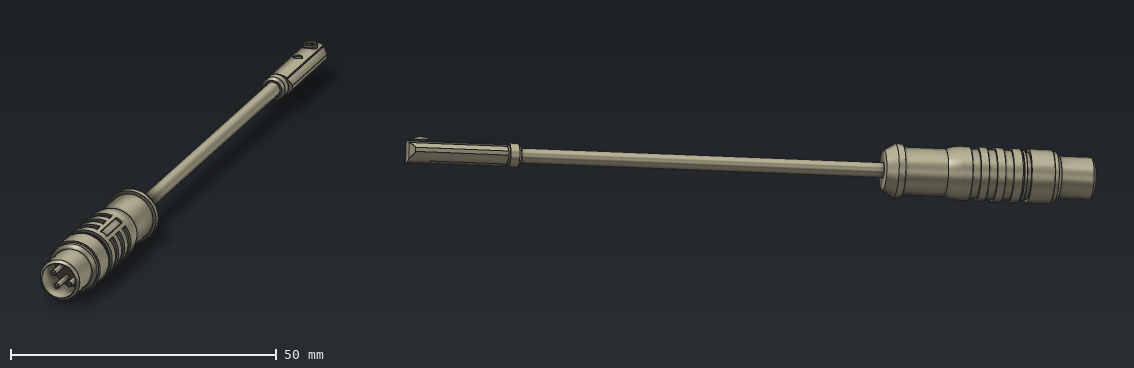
import cadquery as cq
import math

LENGTH = 131.6
CLEARANCE = 1.3

GRIP_RADIUS = 10.3 / 2
NECK_RADIUS = 9.6 / 2
WAIST_RADIUS = 9.1 / 2
GROOVE_FLOOR_RADIUS = 9.0 / 2
TIP_RADIUS = 8.0 / 2
REAR_END_RADIUS = 7.6 / 2
BORE_DIAMETER = 6.8

PLUG_LENGTH = 40.3
TIP_CHAMFER = 0.5
TIP_LENGTH = 6.7
NUT_LIP_START = 7.4
NUT_START = 8.2
NUT_END = 12.6
SEAL_START = 13.4
SEAL_END = 14.0
GRIP_START = 14.3
GRIP_END = 25.9
WAIST_START = 28.5
FLANGE_START = 36.8
FLANGE_END = 38.2
BORE_DEPTH = 6.6

PIN_DIAMETER = 1.0
PIN_CHAMFER = 0.2
PIN_RECESS = 1.0
PIN_ROOT = 0.7
PIN_CIRCLE_RADIUS = 1.8
PIN_ANGLES = [150, 240, 330]

GROOVE_WIDTH = 1.6
GROOVE_PITCH = 3.2
GROOVE_COUNT = 3
FIRST_GROOVE_START = 16.0
GROOVE_DEPTH = 0.4
MARKER_ANGLE = 57.0
MARKER_WIDTH = 1.5
MARKER_LAND_WIDTH = 3.2

CABLE_DIAMETER = 2.9
CABLE_INSERTION = 2.6

BODY_WIDTH = 5.8
BODY_START = 112.6
SIDE_TOP_Z = 0.2
SIDE_BOTTOM_Z = -0.59
LENS_RADIUS = 6.8 / 2
CROWN_WIDTH = 3.5
CROWN_HEIGHT = 0.3
UNDERSIDE_Z = -2.0
FOOT_LENGTH = 4.2
NOSE_LENGTH = 1.0

COLLAR_START = 109.9
COLLAR_END = 112.1
COLLAR_DIAMETER = 4.6
COLLAR_CHAMFER = 0.5
COLLAR_NECK_DIAMETER = 4.0

SCREW_Y = 129.0
SCREW_RIM_DIAMETER = 2.8
SCREW_DIAMETER = 2.5
SCREW_TOP_Z = 2.6
SCREW_RECESS = 0.5
SLOT_WIDTH = 0.5
SLOT_DEPTH = 0.4
SLOT_ANGLE = -30
LAMP_DIAMETER = 1.8
LAMP_Y = 122.7

LENS_RISE = LENS_RADIUS - math.sqrt(LENS_RADIUS**2 - (BODY_WIDTH / 2) ** 2)
LENS_TOP_Z = SIDE_TOP_Z + LENS_RISE
LENS_BOTTOM_Z = SIDE_BOTTOM_Z - LENS_RISE


def rod(diameter, start, end):
    """Round rod along Y, centred on the cable axis."""
    return cq.Workplane("XZ", origin=(0, start, 0)).circle(diameter / 2).extrude(start - end)


def block(width, start, end, bottom, top):
    """Block centred on X = 0, between two Y places and two heights."""
    base = cq.Workplane("XY", origin=(0, (start + end) / 2, bottom))
    return base.rect(width, end - start).extrude(top - bottom)


def make_plug_shell():
    """Turned outline of the tip, nut, seal disc, grip, waist and rear flange."""
    drop = GRIP_RADIUS - WAIST_RADIUS
    blend_length = WAIST_START - GRIP_END
    blend_radius = (blend_length**2 + drop**2) / (2 * drop)
    half_blend = blend_length / 2
    blend_middle = GRIP_RADIUS - blend_radius + math.sqrt(blend_radius**2 - half_blend**2)
    return (
        cq.Workplane("XY")
        .lineTo(TIP_RADIUS - TIP_CHAMFER, 0)
        .lineTo(TIP_RADIUS, TIP_CHAMFER)
        .lineTo(TIP_RADIUS, TIP_LENGTH)
        .lineTo(NECK_RADIUS, NUT_LIP_START)
        .lineTo(NECK_RADIUS, NUT_START)
        .lineTo(GRIP_RADIUS, NUT_START)
        .lineTo(GRIP_RADIUS, NUT_END)
        .lineTo(GROOVE_FLOOR_RADIUS, NUT_END)
        .lineTo(GROOVE_FLOOR_RADIUS, SEAL_START)
        .lineTo(NECK_RADIUS, SEAL_START)
        .lineTo(NECK_RADIUS, SEAL_END)
        .lineTo(GROOVE_FLOOR_RADIUS, SEAL_END)
        .lineTo(GROOVE_FLOOR_RADIUS, GRIP_START)
        .lineTo(GRIP_RADIUS, GRIP_START)
        .lineTo(GRIP_RADIUS, GRIP_END)
        .threePointArc((blend_middle, GRIP_END + half_blend), (WAIST_RADIUS, WAIST_START))
        .lineTo(WAIST_RADIUS, FLANGE_START)
        .lineTo(GRIP_RADIUS, FLANGE_START)
        .lineTo(GRIP_RADIUS, FLANGE_END)
        .lineTo(REAR_END_RADIUS, PLUG_LENGTH)
        .lineTo(0, PLUG_LENGTH)
        .close()
        .revolve(360, (0, 0, 0), (0, 1, 0))
    )


def make_marker_strip(width, start, end, depth):
    """Axial strip at the marker angle, from `depth` below the grip surface outward."""
    strip = block(width, start, end, GRIP_RADIUS - depth, GRIP_RADIUS + CLEARANCE)
    return strip.rotate((0, 0, 0), (0, 1, 0), 90 - MARKER_ANGLE)


def cut_grip(plug):
    """Cut the grooves around the grip, then the slot in the land between their ends."""
    grip_start = FIRST_GROOVE_START
    grip_end = grip_start + (GROOVE_COUNT - 1) * GROOVE_PITCH + GROOVE_WIDTH
    land = make_marker_strip(MARKER_LAND_WIDTH, grip_start, grip_end, CLEARANCE)
    for index in range(GROOVE_COUNT):
        start = grip_start + index * GROOVE_PITCH
        end = start + GROOVE_WIDTH
        ring = rod(2 * (GRIP_RADIUS + CLEARANCE), start, end)
        ring = ring.cut(rod(2 * (GRIP_RADIUS - GROOVE_DEPTH), start, end))
        plug = plug.cut(ring.cut(land))
    return plug.cut(make_marker_strip(MARKER_WIDTH, grip_start, grip_end, GROOVE_DEPTH))


def make_contact_pin(angle):
    x = PIN_CIRCLE_RADIUS * math.cos(math.radians(angle))
    z = PIN_CIRCLE_RADIUS * math.sin(math.radians(angle))
    pin = rod(PIN_DIAMETER, PIN_RECESS, BORE_DEPTH + PIN_ROOT)
    return pin.faces("<Y").chamfer(PIN_CHAMFER).translate((x, 0, z))


def make_plug():
    plug = cut_grip(make_plug_shell())
    plug = plug.cut(rod(BORE_DIAMETER, 0, BORE_DEPTH))
    for angle in PIN_ANGLES:
        plug = plug.union(make_contact_pin(angle))
    return plug.cut(make_cable())


def make_cable():
    return rod(CABLE_DIAMETER, PLUG_LENGTH - CABLE_INSERTION, COLLAR_START + CABLE_INSERTION)


def make_lens():
    """Sensor body without its crown: two shallow arcs joined by vertical sides."""
    half = BODY_WIDTH / 2
    return (
        cq.Workplane("XZ", origin=(0, BODY_START, 0))
        .moveTo(-half, SIDE_BOTTOM_Z)
        .lineTo(-half, SIDE_TOP_Z)
        .threePointArc((0, LENS_TOP_Z), (half, SIDE_TOP_Z))
        .lineTo(half, SIDE_BOTTOM_Z)
        .threePointArc((0, LENS_BOTTOM_Z), (-half, SIDE_BOTTOM_Z))
        .close()
        .extrude(BODY_START - LENGTH)
    )


def make_crown():
    """Raised strip along the top, concentric with the body's upper arc."""
    centre_z = LENS_TOP_Z - LENS_RADIUS
    crown_radius = LENS_RADIUS + CROWN_HEIGHT
    crown = rod(2 * crown_radius, BODY_START, LENGTH).translate((0, 0, centre_z))
    crown = crown.intersect(block(CROWN_WIDTH, BODY_START, LENGTH, 0, crown_radius))
    lamp = cq.Workplane("XY", origin=(0, LAMP_Y, 0)).circle(LAMP_DIAMETER / 2).extrude(crown_radius)
    return crown.cut(lamp)


def make_nose_envelope():
    """Plan outline that bevels both front corners of the sensor down to the crown's width."""
    half = BODY_WIDTH / 2
    shoulder = LENGTH - NOSE_LENGTH
    return (
        cq.Workplane("XY", origin=(0, 0, LENS_BOTTOM_Z - CLEARANCE))
        .moveTo(-half, BODY_START)
        .lineTo(half, BODY_START)
        .lineTo(half, shoulder)
        .lineTo(CROWN_WIDTH / 2, LENGTH)
        .lineTo(-CROWN_WIDTH / 2, LENGTH)
        .lineTo(-half, shoulder)
        .close()
        .extrude(LENS_TOP_Z - LENS_BOTTOM_Z + 2 * CLEARANCE)
    )


def make_collar():
    collar = rod(COLLAR_DIAMETER, COLLAR_START, COLLAR_END).faces("<Y").chamfer(COLLAR_CHAMFER)
    neck = rod(COLLAR_NECK_DIAMETER, COLLAR_START + COLLAR_CHAMFER, BODY_START + CABLE_INSERTION)
    return collar.union(neck)


def add_screw(body):
    """Raised rim around a sunk, slotted screw head."""
    rim = cq.Workplane("XY", origin=(0, SCREW_Y, 0)).circle(SCREW_RIM_DIAMETER / 2).extrude(SCREW_TOP_Z)
    head_z = SCREW_TOP_Z - SCREW_RECESS
    recess = cq.Workplane("XY", origin=(0, SCREW_Y, head_z)).circle(SCREW_DIAMETER / 2).extrude(CLEARANCE)
    half_slot = SCREW_DIAMETER / 2
    slot = block(SLOT_WIDTH, -half_slot, half_slot, head_z - SLOT_DEPTH, head_z)
    slot = slot.rotate((0, 0, 0), (0, 0, 1), SLOT_ANGLE).translate((0, SCREW_Y, 0))
    return body.union(rim).cut(recess).cut(slot)


def make_sensor():
    body = make_lens().union(make_crown()).intersect(make_nose_envelope())
    relief = block(BODY_WIDTH, BODY_START, LENGTH - FOOT_LENGTH, LENS_BOTTOM_Z - CLEARANCE, UNDERSIDE_Z)
    body = add_screw(body.cut(relief)).union(make_collar())
    return body.cut(make_cable())


plug = make_plug()
cable = make_cable()
sensor = make_sensor()
result = cq.Compound.makeCompound([plug.val(), cable.val(), sensor.val()])